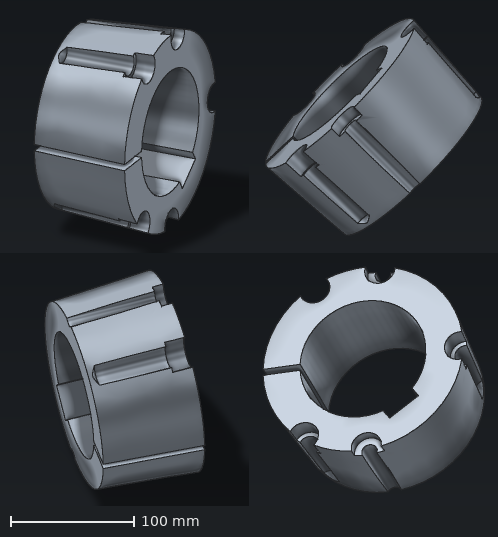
import cadquery as cq
import math

LENGTH = 84.77
LARGE_RADIUS = 84.62
TAPER_ANGLE = 4.0
SMALL_RADIUS = LARGE_RADIUS - LENGTH * math.tan(math.radians(TAPER_ANGLE))
BORE_RADIUS = 53.2

SLIT_WIDTH = 5.5

KEYWAY_ANGLE = 235.0
KEYWAY_WIDTH = 29.6
KEYWAY_FLOOR = 60.5

PITCH_RADIUS = 81.7
COUNTERBORE_RADIUS = 12.7

BLIND_HOLE_ANGLES = (60.0, 180.0, 308.0)
BLIND_HOLE_RADIUS = 8.9
BLIND_HOLE_BOTTOM = 7.2
BLIND_COUNTERBORE_DEPTH = 17.1
DRILL_POINT_ANGLE = 118.0

THROUGH_HOLE_ANGLES = (100.0, 268.0)
THROUGH_HOLE_RADIUS = 6.5
THROUGH_COUNTERBORE_DEPTH = 9.4


def at_angle(shape, angle):
    """Turn a shape made on the -Y side about X, with angles running from -Y toward +Z."""
    return shape.rotate((0, 0, 0), (1, 0, 0), -angle)


def tapered_ring():
    half_section = [
        (0, BORE_RADIUS),
        (LENGTH, BORE_RADIUS),
        (LENGTH, LARGE_RADIUS),
        (0, SMALL_RADIUS),
    ]
    return cq.Workplane("XY").polyline(half_section).close().revolve(360, (0, 0, 0), (1, 0, 0))


def radial_slot(width, reach):
    """Full-length slot running from the bushing axis out to the given reach on the -Y side."""
    slot = cq.Workplane("XY").box(LENGTH, reach, width, centered=(False, False, True))
    return slot.translate((0, -reach, 0))


def screw_hole(half_profile):
    """Revolve an (x, radius) profile about the screw axis on the -Y side."""
    return (
        cq.Workplane("XY")
        .polyline(half_profile)
        .close()
        .revolve(360, (0, 0, 0), (1, 0, 0))
        .translate((0, -PITCH_RADIUS, 0))
    )


def counterbored_hole(inner_end, hole_radius, counterbore_depth):
    """Screw hole whose blind or open end is given by inner_end, counterbored from the large end."""
    shoulder = LENGTH - counterbore_depth
    return screw_hole(inner_end + [
        (shoulder, hole_radius),
        (shoulder, COUNTERBORE_RADIUS),
        (LENGTH, COUNTERBORE_RADIUS),
        (LENGTH, 0),
    ])


def blind_hole():
    point_length = BLIND_HOLE_RADIUS / math.tan(math.radians(DRILL_POINT_ANGLE / 2))
    drill_point = [(BLIND_HOLE_BOTTOM - point_length, 0), (BLIND_HOLE_BOTTOM, BLIND_HOLE_RADIUS)]
    return counterbored_hole(drill_point, BLIND_HOLE_RADIUS, BLIND_COUNTERBORE_DEPTH)


def through_hole():
    open_end = [(0, 0), (0, THROUGH_HOLE_RADIUS)]
    return counterbored_hole(open_end, THROUGH_HOLE_RADIUS, THROUGH_COUNTERBORE_DEPTH)


bushing = tapered_ring()
bushing = bushing.cut(radial_slot(SLIT_WIDTH, LARGE_RADIUS))
bushing = bushing.cut(at_angle(radial_slot(KEYWAY_WIDTH, KEYWAY_FLOOR), KEYWAY_ANGLE))
for hole_angle in BLIND_HOLE_ANGLES:
    bushing = bushing.cut(at_angle(blind_hole(), hole_angle))
for hole_angle in THROUGH_HOLE_ANGLES:
    bushing = bushing.cut(at_angle(through_hole(), hole_angle))

result = bushing